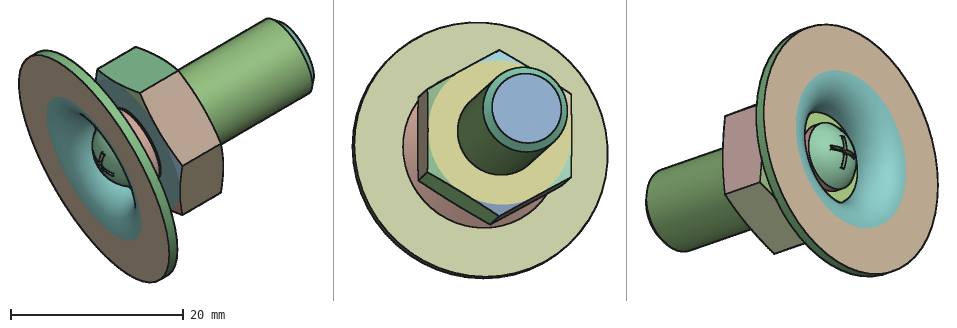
import cadquery as cq
import math

flange_diameter = 30.0
flange_thickness = 1.2
overall_length = 28.5

cone_base_radius = 9.25
cone_end = 6.0
neck_radius = 4.7

recess_mouth_radius = 9.5
recess_depth = 4.0
recess_floor_radius = recess_mouth_radius - recess_depth

nut_sides = 6
nut_across_flats = 17.0
nut_start = 6.2
nut_height = 6.2
nut_face_radius = nut_across_flats / 2
nut_chamfer_angle = 15.0

shank_diameter = 10.0
shank_chamfer = 0.9

head_diameter = 8.0
head_rim_height = 1.0
dome_height = 2.15

slot_length = 4.0
slot_width = 0.5
slot_depth = 0.8


def revolve_about_y(profile):
    return profile.close().revolve(360, (0, 0, 0), (0, 1, 0))


def along_y(start):
    """Workplane at Y = start whose normal points along +Y."""
    return cq.Workplane(cq.Plane(origin=(0, start, 0), xDir=(1, 0, 0), normal=(0, 1, 0)))


def make_flanged_cone():
    """Flange, cone and neck with the flared recess, as one revolved profile."""
    flange_radius = flange_diameter / 2
    arc_offset = recess_depth * math.sqrt(0.5)
    arc_middle = (recess_mouth_radius - arc_offset, recess_depth - arc_offset)
    profile = (
        cq.Workplane("XY")
        .moveTo(0, recess_depth)
        .lineTo(recess_floor_radius, recess_depth)
        .threePointArc(arc_middle, (recess_mouth_radius, 0))
        .lineTo(flange_radius, 0)
        .lineTo(flange_radius, flange_thickness)
        .lineTo(cone_base_radius, flange_thickness)
        .lineTo(neck_radius, cone_end)
        .lineTo(neck_radius, nut_start)
        .lineTo(0, nut_start)
    )
    return revolve_about_y(profile)


def make_nut():
    """Hexagon prism with its corners turned off conically at both ends."""
    corner_diameter = nut_across_flats / math.cos(math.pi / nut_sides)
    corner_radius = corner_diameter / 2
    chamfer_drop = (corner_radius - nut_face_radius) * math.tan(math.radians(nut_chamfer_angle))
    nut_end = nut_start + nut_height
    hexagon = along_y(nut_start).polygon(nut_sides, corner_diameter).extrude(nut_height)
    corner_turn = 180 / nut_sides
    hexagon = hexagon.rotate((0, 0, 0), (0, 1, 0), corner_turn)
    envelope = revolve_about_y(
        cq.Workplane("XY")
        .moveTo(0, nut_start)
        .lineTo(nut_face_radius, nut_start)
        .lineTo(corner_radius, nut_start + chamfer_drop)
        .lineTo(corner_radius, nut_end - chamfer_drop)
        .lineTo(nut_face_radius, nut_end)
        .lineTo(0, nut_end)
    )
    return hexagon.intersect(envelope)


def make_shank():
    shank_length = overall_length - nut_start
    shank = along_y(nut_start).circle(shank_diameter / 2).extrude(shank_length)
    return shank.faces(">Y").chamfer(shank_chamfer)


def make_screw_head():
    """Domed head with a short cylindrical rim and a flat-bottomed cross slot."""
    head_radius = head_diameter / 2
    rim_front = recess_depth - head_rim_height
    apex = rim_front - dome_height
    dome_radius = (head_radius**2 + dome_height**2) / (2 * dome_height)
    half_angle = math.asin(head_radius / dome_radius) / 2
    dome_middle = (
        dome_radius * math.sin(half_angle),
        apex + dome_radius * (1 - math.cos(half_angle)),
    )
    head = revolve_about_y(
        cq.Workplane("XY")
        .moveTo(0, recess_depth)
        .lineTo(head_radius, recess_depth)
        .lineTo(head_radius, rim_front)
        .threePointArc(dome_middle, (0, apex))
    )
    slot_plane = along_y(apex)
    for length, width in ((slot_length, slot_width), (slot_width, slot_length)):
        head = head.cut(slot_plane.rect(length, width).extrude(slot_depth))
    return head


result = make_flanged_cone().union(make_nut()).union(make_shank()).union(make_screw_head())